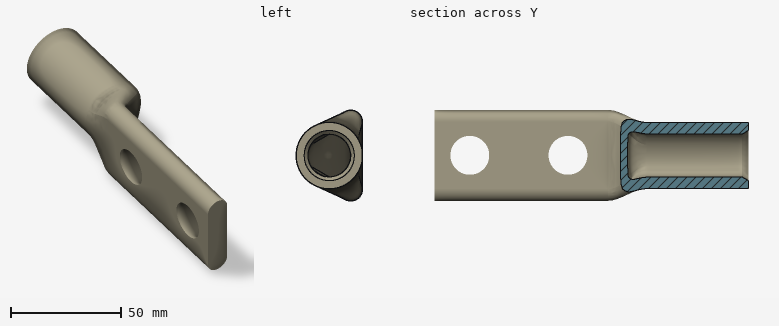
import cadquery as cq
import math

total_length = 142.1
barrel_length = 46.0
neck_length = 17.5
barrel_diameter = 30.1
bore_diameter = 19.3
bore_mouth_diameter = 22.7
bore_chamfer_length = 2.8
pad_width = 41.2
pad_thickness = 10.7
seam_thickness = 0.1
hole_diameter = 17.6
hole_spacing = 44.5
end_to_hole = 15.9
split_angle = 30.0
neck_section_count = 6
straight_tolerance = 2.02e-06

barrel_radius = barrel_diameter / 2
bore_radius = bore_diameter / 2
pad_start = barrel_length + neck_length
pad_length = total_length - pad_start
pad_center_y = -barrel_radius + pad_thickness / 2
flat_half_width = (pad_width - pad_thickness) / 2


def circle_points(radius):
    """Eight (y, z) points: four arc ends alternating with four arc middles."""
    angles = (-90 - split_angle, -90, -90 + split_angle, 0,
              90 - split_angle, 90, 90 + split_angle, 180)
    return [
        (radius * math.sin(math.radians(a)), radius * math.cos(math.radians(a)))
        for a in angles
    ]


def slot_points(half_flat, thickness):
    """The matching eight points on a round-ended flat section."""
    half = thickness / 2
    low = pad_center_y - half
    high = pad_center_y + half
    return [
        (low, -half_flat), (low, 0), (low, half_flat), (pad_center_y, half_flat + half),
        (high, half_flat), (high, 0), (high, -half_flat), (pad_center_y, -half_flat - half),
    ]


def section_wire(x, points):
    """Close the section with arcs, or straight edges where three points align."""
    corners = [cq.Vector(x, y, z) for y, z in points]
    edges = []
    for i in range(0, len(corners), 2):
        start, middle, end = corners[i], corners[i + 1], corners[(i + 2) % len(corners)]
        bend = (middle - start).cross(end - start).Length
        if bend < straight_tolerance:
            edges.append(cq.Edge.makeLine(start, end))
        else:
            edges.append(cq.Edge.makeThreePointArc(start, middle, end))
    return cq.Wire.assembleEdges(edges)


def neck_loft(circle, slot):
    """Blend from circle to slot, leaving both ends parallel to the barrel axis."""
    wires = []
    for i in range(neck_section_count):
        step = i / (neck_section_count - 1)
        blend = step**2 * (3 - 2 * step)
        points = [
            (cy + blend * (sy - cy), cz + blend * (sz - cz))
            for (cy, cz), (sy, sz) in zip(circle, slot)
        ]
        wires.append(section_wire(barrel_length + step * neck_length, points))
    return cq.Workplane(obj=cq.Solid.makeLoft(wires))


barrel = cq.Workplane("YZ").circle(barrel_radius).extrude(barrel_length)
neck = neck_loft(circle_points(barrel_radius), slot_points(flat_half_width, pad_thickness))
pad = (
    cq.Workplane("YZ", origin=(pad_start, pad_center_y, 0))
    .slot2D(pad_width, pad_thickness, 90)
    .extrude(pad_length)
)
body = barrel.union(neck).union(pad)

bore = cq.Workplane("YZ").circle(bore_radius).extrude(barrel_length)
pinch = neck_loft(circle_points(bore_radius), slot_points(flat_half_width, seam_thickness))
mouth = (
    cq.Workplane("YZ")
    .circle(bore_mouth_diameter / 2)
    .workplane(offset=bore_chamfer_length)
    .circle(bore_radius)
    .loft()
)
body = body.cut(bore).cut(pinch).cut(mouth)

last_hole_x = total_length - end_to_hole
bolt_holes = (
    cq.Workplane("XZ")
    .pushPoints([(last_hole_x - hole_spacing, 0), (last_hole_x, 0)])
    .circle(hole_diameter / 2)
    .extrude(barrel_diameter, both=True)
)
result = body.cut(bolt_holes)